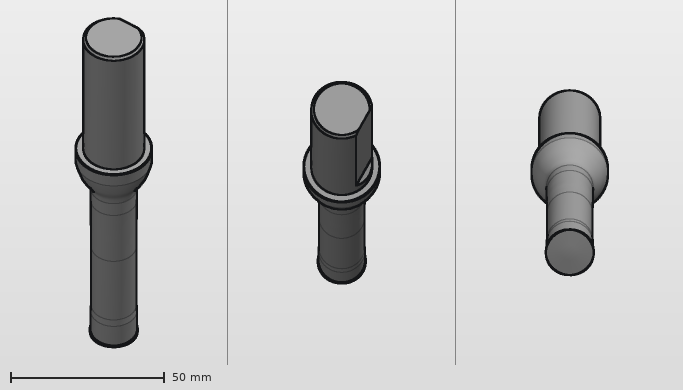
import cadquery as cq

TOTAL_LENGTH = 133.0
SHANK_LENGTH = 50.0
COLLAR_HEIGHT = 5.0
FLARE_HEIGHT = 12.8
FLARE_MIDDLE_DROP = 7.2
NECK_LENGTH = 5.3
WAIST_TOP = 39.0
WAIST_BOTTOM = 12.5
LOWER_TAPER_HEIGHT = 2.8
TIP_TOP = 1.0
TIP_POINT_HEIGHT = 0.5

SHANK_DIAMETER = 20.0
COLLAR_DIAMETER = 25.0
STEM_DIAMETER = 15.2
WAIST_DIAMETER = 14.9
FLARE_MIDDLE_DIAMETER = 20.0
TIP_DIAMETER = 15.7

SHANK_CHAMFER = 0.9
COLLAR_CHAMFER = 0.3
FLARE_TOP_LEAN = 0.2
FLAT_DEPTH = 1.7
FLAT_RUNOUT_TOP = 5.3

SHANK_RADIUS = SHANK_DIAMETER / 2
COLLAR_RADIUS = COLLAR_DIAMETER / 2
STEM_RADIUS = STEM_DIAMETER / 2
WAIST_RADIUS = WAIST_DIAMETER / 2
TIP_RADIUS = TIP_DIAMETER / 2

COLLAR_TOP = TOTAL_LENGTH - SHANK_LENGTH
COLLAR_BOTTOM = COLLAR_TOP - COLLAR_HEIGHT
FLARE_BOTTOM = COLLAR_BOTTOM - FLARE_HEIGHT
NECK_BOTTOM = FLARE_BOTTOM - NECK_LENGTH
LOWER_TAPER_BOTTOM = WAIST_BOTTOM - LOWER_TAPER_HEIGHT


def revolve_profile(profile):
    """Turn a closed radius-height profile about the Z axis."""
    return profile.close().revolve(360, (0, 0, 0), (0, 1, 0))


def add_flare(profile):
    """Smooth S-curve that leaves the stem vertically and meets the collar with a slight lean."""
    flare_points = [
        (FLARE_MIDDLE_DIAMETER / 2, COLLAR_BOTTOM - FLARE_MIDDLE_DROP),
        (COLLAR_RADIUS, COLLAR_BOTTOM),
    ]
    bottom_direction = (0, 1)
    top_direction = (FLARE_TOP_LEAN, 1)
    return profile.spline(
        flare_points,
        tangents=[bottom_direction, top_direction],
        includeCurrent=True,
    )


def make_flat_cutter():
    """Block that mills the clamping flat on +Y, with a 45 degree run-out."""
    flat_y = SHANK_RADIUS - FLAT_DEPTH
    full_depth_z = COLLAR_TOP + FLAT_RUNOUT_TOP
    return (
        cq.Workplane("YZ")
        .moveTo(flat_y, full_depth_z)
        .lineTo(SHANK_RADIUS, full_depth_z - FLAT_DEPTH)
        .lineTo(COLLAR_RADIUS, full_depth_z - FLAT_DEPTH)
        .lineTo(COLLAR_RADIUS, TOTAL_LENGTH)
        .lineTo(flat_y, TOTAL_LENGTH)
        .close()
        .extrude(SHANK_RADIUS, both=True)
    )


def make_holder():
    """Stem, neck, flare, collar and shank turned in one piece, with a flat on the shank."""
    stem = (
        cq.Workplane("XZ")
        .moveTo(0, TIP_TOP)
        .lineTo(STEM_RADIUS, TIP_TOP)
        .lineTo(STEM_RADIUS, LOWER_TAPER_BOTTOM)
        .lineTo(WAIST_RADIUS, WAIST_BOTTOM)
        .lineTo(WAIST_RADIUS, WAIST_TOP)
        .lineTo(STEM_RADIUS, NECK_BOTTOM)
        .lineTo(STEM_RADIUS, FLARE_BOTTOM)
    )
    profile = (
        add_flare(stem)
        .lineTo(COLLAR_RADIUS, COLLAR_TOP - COLLAR_CHAMFER)
        .lineTo(COLLAR_RADIUS - COLLAR_CHAMFER, COLLAR_TOP)
        .lineTo(SHANK_RADIUS, COLLAR_TOP)
        .lineTo(SHANK_RADIUS, TOTAL_LENGTH - SHANK_CHAMFER)
        .lineTo(SHANK_RADIUS - SHANK_CHAMFER, TOTAL_LENGTH)
        .lineTo(0, TOTAL_LENGTH)
    )
    return revolve_profile(profile).cut(make_flat_cutter())


def make_cutting_tip():
    """Disc slightly wider than the stem, with a shallow conical point below."""
    profile = (
        cq.Workplane("XZ")
        .lineTo(TIP_RADIUS, TIP_POINT_HEIGHT)
        .lineTo(TIP_RADIUS, TIP_TOP)
        .lineTo(0, TIP_TOP)
    )
    return revolve_profile(profile)


holder = make_holder()
cutting_tip = make_cutting_tip()
result = cq.Compound.makeCompound([holder.val(), cutting_tip.val()])